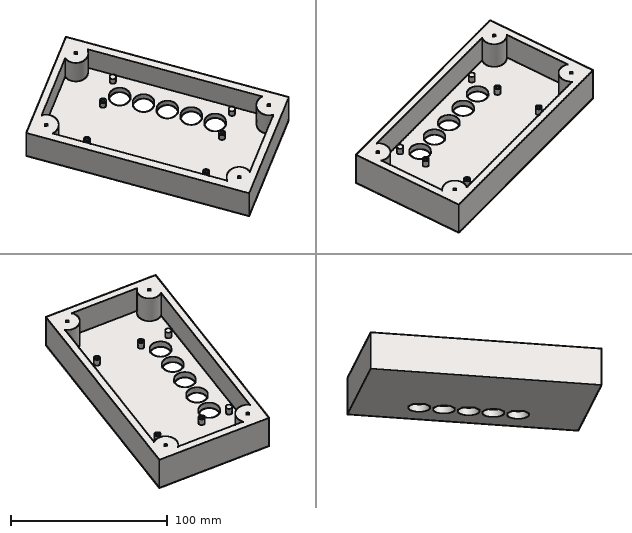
import cadquery as cq

length = 150.0
width = 80.0
height = 25.0
wall = 5.0
floor_thickness = 5.0

post_diameter = 16.0
post_inset = 10.0
screw_hole_diameter = 2.0
screw_hole_depth = height - floor_thickness

opening_diameter = 14.0
opening_count = 5
opening_pitch = 16.0
opening_row_y = 20.0

peg_diameter = 4.0
peg_hole_diameter = 2.0
peg_height = 5.0
peg_x = 40.0
plain_peg_y = 30.0
drilled_peg_rows = (10.0, -22.0)


def mirrored_pair(y):
    """Points at the left and right peg positions for one row."""
    return [(-peg_x, y), (peg_x, y)]


def cylinders(points, diameter, base, depth):
    """Equal upright cylinders starting at the height base."""
    return cq.Workplane("XY").workplane(offset=base).pushPoints(points).circle(diameter / 2).extrude(depth)


body = cq.Workplane("XY").box(length, width, height, centered=(True, True, False))
cavity = (
    cq.Workplane("XY")
    .workplane(offset=floor_thickness)
    .rect(length - 2 * wall, width - 2 * wall)
    .extrude(height - floor_thickness)
)
body = body.cut(cavity)

post_x = length / 2 - post_inset
post_y = width / 2 - post_inset
post_points = [(x, y) for x in (-post_x, post_x) for y in (-post_y, post_y)]
body = body.union(cylinders(post_points, post_diameter, floor_thickness, height - floor_thickness))
body = body.cut(cylinders(post_points, screw_hole_diameter, height - screw_hole_depth, screw_hole_depth))

first_opening_x = -opening_pitch * (opening_count - 1) / 2
opening_points = [(first_opening_x + i * opening_pitch, opening_row_y) for i in range(opening_count)]
body = body.cut(cylinders(opening_points, opening_diameter, 0, floor_thickness))

drilled_points = [point for y in drilled_peg_rows for point in mirrored_pair(y)]
peg_points = mirrored_pair(plain_peg_y) + drilled_points
body = body.union(cylinders(peg_points, peg_diameter, floor_thickness, peg_height))
body = body.cut(cylinders(drilled_points, peg_hole_diameter, floor_thickness, peg_height))

result = body